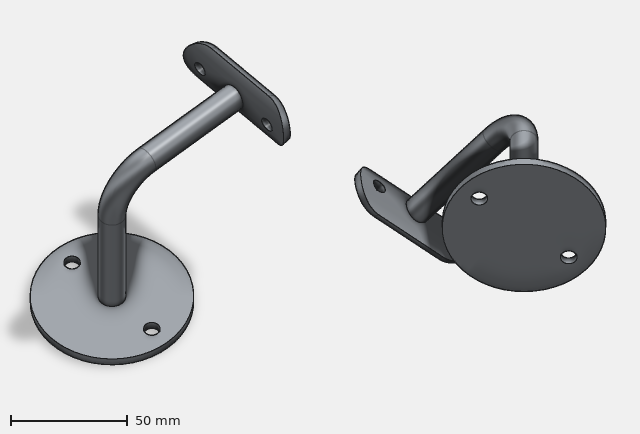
import cadquery as cq
import math

base_diameter = 70.0
plate_thickness = 4.0
base_hole_diameter = 7.0
base_hole_spacing = 50.1

rod_diameter = 12.0
bend_radius = 20.0

overall_depth = 113.3
overall_height = 92.5
saddle_width = 63.0
saddle_height = 27.0
saddle_outer_radius = 25.2
saddle_hole_diameter = 6.6
saddle_hole_spacing = 42.0

saddle_inner_radius = saddle_outer_radius - plate_thickness
rod_axis_height = overall_height - saddle_height / 2
saddle_half_angle = math.asin(saddle_height / 2 / saddle_outer_radius)
saddle_back = overall_depth - base_diameter / 2
saddle_axis_y = saddle_back + saddle_inner_radius * math.cos(saddle_half_angle)
rod_end_y = saddle_axis_y - (saddle_outer_radius + saddle_inner_radius) / 2


def make_base():
    """Round plate with two mounting holes."""
    return (
        cq.Workplane("XY")
        .circle(base_diameter / 2)
        .extrude(plate_thickness)
        .faces(">Z")
        .workplane()
        .rarray(base_hole_spacing, 1.1, 2, 1)
        .hole(base_hole_diameter)
    )


def make_rod():
    """Round rod that rises from the base and bends toward +Y to meet the saddle."""
    path = (
        cq.Workplane("YZ")
        .lineTo(0, rod_axis_height - bend_radius)
        .tangentArcPoint((bend_radius, rod_axis_height), relative=False)
        .lineTo(rod_end_y, rod_axis_height)
    )
    return cq.Workplane("XY").circle(rod_diameter / 2).sweep(path)


def make_saddle():
    """Slot-shaped piece of a tube wall whose edges run square to the curved surface."""
    tube = (
        cq.Workplane("YZ", origin=(0, saddle_axis_y, rod_axis_height))
        .circle(saddle_outer_radius)
        .extrude(saddle_width, both=True)
    )
    slot = (
        cq.Workplane("XZ", origin=(0, saddle_axis_y, rod_axis_height))
        .slot2D(saddle_width, saddle_height)
        .extrude(2 * saddle_outer_radius)
    )
    outer_face = tube.intersect(slot).faces("%CYLINDER").faces("<Y").val()
    saddle = cq.Workplane(outer_face.thicken(-plate_thickness))
    holes = (
        cq.Workplane("XZ", origin=(0, saddle_axis_y, rod_axis_height))
        .rarray(saddle_hole_spacing, 1.1, 2, 1)
        .circle(saddle_hole_diameter / 2)
        .extrude(2 * saddle_outer_radius)
    )
    return saddle.cut(holes)


result = make_base().union(make_rod()).union(make_saddle())